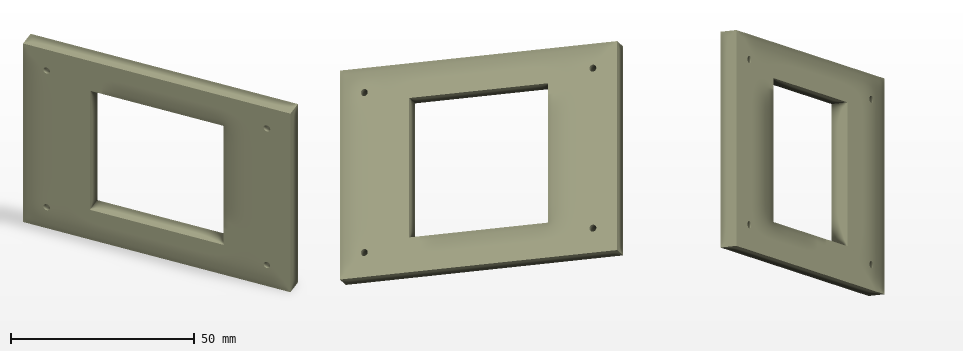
import cadquery as cq

plate_width = 80.0
plate_height = 60.0
plate_thickness = 5.0

window_side = plate_width / 2

hole_diameter = 2.0
edge_to_hole = 7.0
hole_spacing_x = plate_width - 2 * edge_to_hole
hole_spacing_z = plate_height - 2 * edge_to_hole

plate = cq.Workplane("XY").box(plate_width, plate_thickness, plate_height)

window = cq.Workplane("XY").box(window_side, plate_thickness, window_side)

mounting_holes = (
    cq.Workplane("XZ")
    .rect(hole_spacing_x, hole_spacing_z, forConstruction=True)
    .vertices()
    .circle(hole_diameter / 2)
    .extrude(plate_thickness / 2, both=True)
)

result = plate.cut(window).cut(mounting_holes)